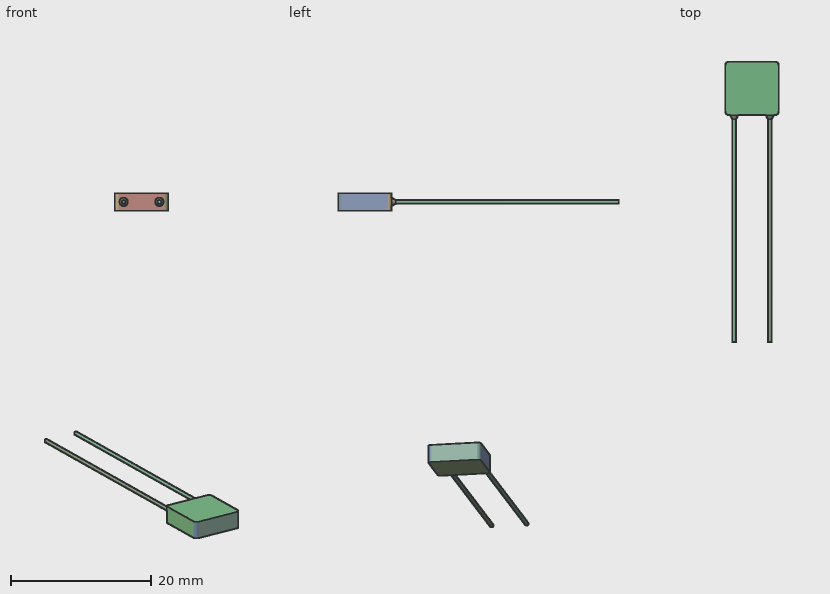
import cadquery as cq


case_side = 7.62
case_thickness = 2.54
case_corner_radius = 0.5

overall_length = 39.97
lead_pitch = 5.08
lead_diameter = 0.55

collar_base_diameter = 1.2
collar_length = 0.6

lead_length = overall_length - case_side - collar_length
lead_positions = [-lead_pitch / 2, lead_pitch / 2]


def make_collar(x):
    """Cone standing on the case front face, ending at the lead diameter."""
    return (
        cq.Workplane("XZ", origin=(x, 0, 0))
        .circle(collar_base_diameter / 2)
        .workplane(offset=collar_length)
        .circle(lead_diameter / 2)
        .loft(ruled=True)
    )


def make_case():
    """Box with rounded upright corners and one collar for each lead."""
    case = (
        cq.Workplane("XY", origin=(0, case_side / 2, 0))
        .box(case_side, case_side, case_thickness)
        .edges("|Z")
        .fillet(case_corner_radius)
    )
    for x in lead_positions:
        case = case.union(make_collar(x))
    return case


def make_lead(x):
    """Straight round wire running in -Y from the collar tip to its free end."""
    return (
        cq.Workplane("XZ", origin=(x, -collar_length, 0))
        .circle(lead_diameter / 2)
        .extrude(lead_length)
    )


case = make_case()
leads = [make_lead(x) for x in lead_positions]

result = cq.Compound.makeCompound([case.solids().val(), *[lead.val() for lead in leads]])